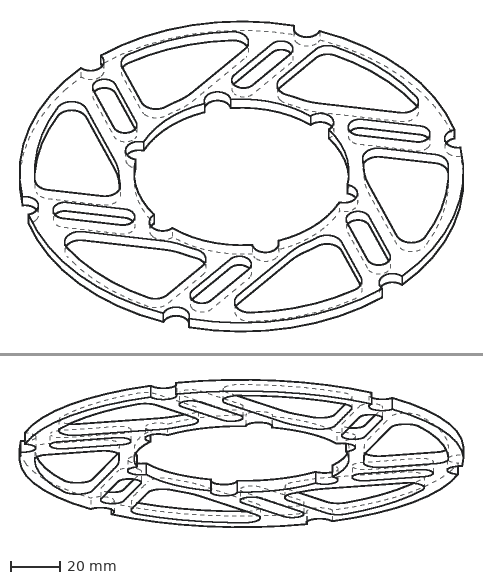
import cadquery as cq
import math

outer_radius = 90.2
bore_radius = 43.7
thickness = 4.9

repeat_count = 6
pitch_angle = 360 / repeat_count

notch_radius = 5.5
rim_notch_angle = pitch_angle / 2

spoke_angle = 7.6
spoke_offset = 34.7
spoke_width = 22.4

slot_width = 9.5
slot_length = 33.5
slot_offset = 34.5
slot_distance = 55.0

window_inner_radius = 49.8
window_outer_radius = 84.1
window_corner_radius = 6.3
window_blend_radius = 25.3


def polar(radius, angle):
    """Point at a radius and an angle in degrees."""
    return radius * math.cos(math.radians(angle)), radius * math.sin(math.radians(angle))


def spoke_edge_angle(radius, edge_offset):
    """Polar angle where a spoke edge, at a given offset from the axis, crosses a circle."""
    return spoke_angle + math.degrees(math.asin(edge_offset / radius))


def repeat_around(cutter):
    """Fuse copies of a cutter spaced evenly around the disc axis."""
    copies = cutter
    for index in range(1, repeat_count):
        copies = copies.union(cutter.rotate((0, 0, 0), (0, 0, 1), index * pitch_angle))
    return copies


def notch(center_radius, angle):
    return cq.Workplane("XY").center(*polar(center_radius, angle)).circle(notch_radius).extrude(thickness)


def spoke_slot():
    slot = cq.Workplane("XY").center(slot_distance, slot_offset).slot2D(slot_length, slot_width)
    return slot.extrude(thickness).rotate((0, 0, 0), (0, 0, 1), spoke_angle)


def window():
    """Opening between one spoke and the next one clockwise, with all corners rounded."""
    upper_offset = spoke_offset - spoke_width / 2
    lower_offset = spoke_offset + spoke_width / 2
    inner_top = spoke_edge_angle(window_inner_radius, upper_offset)
    outer_top = spoke_edge_angle(window_outer_radius, upper_offset)
    inner_bottom = spoke_edge_angle(window_inner_radius, lower_offset) - pitch_angle
    outer_bottom = spoke_edge_angle(window_outer_radius, lower_offset) - pitch_angle

    blank = (
        cq.Workplane("XY")
        .moveTo(*polar(window_inner_radius, inner_top))
        .lineTo(*polar(window_outer_radius, outer_top))
        .threePointArc(
            polar(window_outer_radius, (outer_top + outer_bottom) / 2),
            polar(window_outer_radius, outer_bottom),
        )
        .lineTo(*polar(window_inner_radius, inner_bottom))
        .threePointArc(
            polar(window_inner_radius, (inner_top + inner_bottom) / 2),
            polar(window_inner_radius, inner_top),
        )
        .close()
        .extrude(thickness)
    )

    blend_corner = (*polar(window_inner_radius, inner_bottom), thickness / 2)
    blended = blank.edges(cq.selectors.NearestToPointSelector(blend_corner)).fillet(window_blend_radius)

    sharp_corners = [
        polar(window_inner_radius, inner_top),
        polar(window_outer_radius, outer_top),
        polar(window_outer_radius, outer_bottom),
    ]
    rounded = blended
    for corner in sharp_corners:
        edge = cq.selectors.NearestToPointSelector((*corner, thickness / 2))
        rounded = rounded.edges(edge).fillet(window_corner_radius)
    return rounded


disc = cq.Workplane("XY").circle(outer_radius).circle(bore_radius).extrude(thickness)

result = disc
for cutter in (
    notch(bore_radius, 0),
    notch(outer_radius, rim_notch_angle),
    spoke_slot(),
    window(),
):
    result = result.cut(repeat_around(cutter))